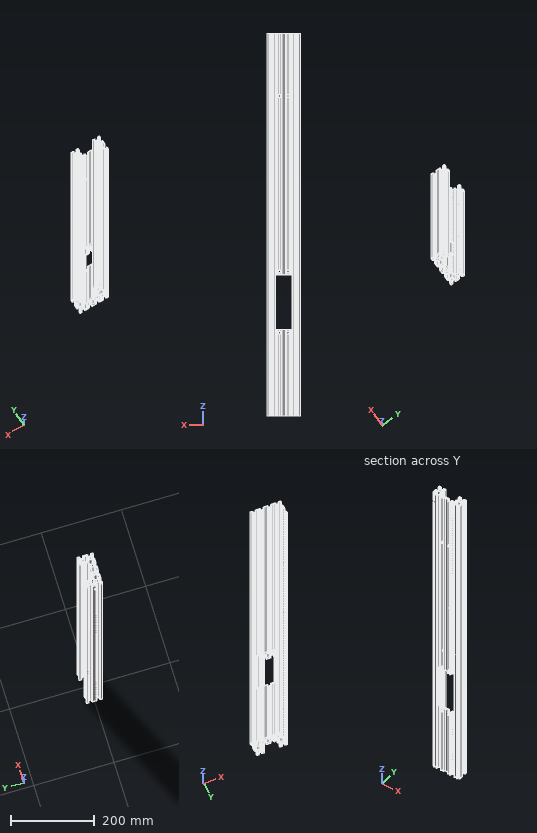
import cadquery as cq

LENGTH = 914.0
WIDTH = 80.0
DEPTH = 40.0

MODULE = WIDTH / 4
HALF_MODULE = MODULE / 2
ARM_X = 1.5 * MODULE
ARM_INNER_X = MODULE
FLOOR_X = HALF_MODULE
LOWER_Y = HALF_MODULE
UPPER_Y = 1.5 * MODULE
FLOOR_TOP_Y = MODULE

NOTCH_REACH = 4.1
NOTCH_DEPTH = 2.0

MOUTH_WIDTH = 9.0
NECK_WIDTH = 6.2
LIP_THICKNESS = 2.0
UNDERCUT_WIDTH = 11.0
SLOT_DEPTH = 5.5
GROOVE_WIDTH = 0.7
GROOVE_DEPTH = GROOVE_WIDTH / 2
WEB_OFFSET = 1.0
V_DEPTH = (MOUTH_WIDTH - NECK_WIDTH) / 2
WEB_REACH = HALF_MODULE - WEB_OFFSET

FLOOR_CAVITY_LENGTH = 13.0
FLOOR_CAVITY_WIDTH = 11.0
ARM_CAVITY_LENGTH = 9.0
ARM_CAVITY_WIDTH = 14.0
JUNCTION_CAVITY_LENGTH = 11.0
JUNCTION_CAVITY_WIDTH = 16.0
CORE_BORE = 5.5

WINDOW_WIDTH = 46.0
WINDOW_BOTTOM = 207.5
WINDOW_TOP = 337.0

FLOOR_HOLE = 5.9
HOLE_TO_WINDOW = 8.0
UPPER_HOLE_Z = 764.0
SIDE_HOLE = 10.0
SIDE_HOLE_DEPTH = SLOT_DEPTH
SIDE_HOLE_Y = LOWER_Y + SIDE_HOLE / 2
SIDE_HOLE_Z = 886.0


def extrude_outline(points):
    return cq.Workplane("XY").polyline(points).close().extrude(LENGTH)


def channel_body():
    """U-shaped bar with a notch along each of its two inner corners."""
    right_half = [
        (WIDTH / 2, 0),
        (WIDTH / 2, DEPTH),
        (ARM_INNER_X, DEPTH),
        (ARM_INNER_X, FLOOR_TOP_Y + NOTCH_REACH),
        (ARM_INNER_X + NOTCH_DEPTH, FLOOR_TOP_Y + NOTCH_DEPTH),
        (ARM_INNER_X - NOTCH_DEPTH, FLOOR_TOP_Y - NOTCH_DEPTH),
        (ARM_INNER_X - NOTCH_REACH, FLOOR_TOP_Y),
    ]
    left_half = [(-x, y) for x, y in reversed(right_half)]
    return extrude_outline(right_half + left_half)


def slot(x, y, turn):
    """V-slot whose mouth centre is at (x, y); at turn 0 it opens toward -Y."""
    right_half = [
        (MOUTH_WIDTH / 2, 0),
        (NECK_WIDTH / 2, V_DEPTH),
        (NECK_WIDTH / 2, LIP_THICKNESS),
        (UNDERCUT_WIDTH / 2, LIP_THICKNESS),
        (UNDERCUT_WIDTH / 2, WEB_REACH - UNDERCUT_WIDTH / 2),
        (WEB_REACH - SLOT_DEPTH, SLOT_DEPTH),
        (GROOVE_WIDTH / 2, SLOT_DEPTH),
    ]
    groove_bottom = [(0, SLOT_DEPTH + GROOVE_DEPTH)]
    left_half = [(-u, v) for u, v in reversed(right_half)]
    cutter = extrude_outline(right_half + groove_bottom + left_half)
    return cutter.rotate((0, 0, 0), (0, 0, 1), turn).translate((x, y, 0))


def cavity(x, y, length, width, turn=0):
    """Octagonal hollow between two cores; at turn 0 the cores lie along X."""
    end = length / 2
    side = width / 2
    quarter = [(end, WEB_REACH - end), (WEB_REACH - side, side)]
    upper = quarter + [(-u, v) for u, v in reversed(quarter)]
    lower = [(-u, -v) for u, v in upper]
    cutter = extrude_outline(upper + lower)
    return cutter.rotate((0, 0, 0), (0, 0, 1), turn).translate((x, y, 0))


result = channel_body()

for sign in (-1, 1):
    result = result.cut(slot(sign * ARM_X, 0, 0))
    result = result.cut(slot(sign * FLOOR_X, 0, 0))
    result = result.cut(slot(sign * ARM_X, DEPTH, 180))
    result = result.cut(slot(sign * FLOOR_X, FLOOR_TOP_Y, 180))
    result = result.cut(slot(sign * WIDTH / 2, LOWER_Y, sign * 90))
    result = result.cut(slot(sign * WIDTH / 2, UPPER_Y, sign * 90))
    result = result.cut(slot(sign * ARM_INNER_X, UPPER_Y, -sign * 90))
    result = result.cut(cavity(sign * ARM_INNER_X, LOWER_Y, JUNCTION_CAVITY_LENGTH, JUNCTION_CAVITY_WIDTH))
    result = result.cut(cavity(sign * ARM_X, FLOOR_TOP_Y, ARM_CAVITY_LENGTH, ARM_CAVITY_WIDTH, 90))
result = result.cut(cavity(0, LOWER_Y, FLOOR_CAVITY_LENGTH, FLOOR_CAVITY_WIDTH))

core_centres = [
    (sign * x, y)
    for sign in (-1, 1)
    for x, y in ((ARM_X, UPPER_Y), (ARM_X, LOWER_Y), (FLOOR_X, LOWER_Y))
]
core_bores = cq.Workplane("XY").pushPoints(core_centres).circle(CORE_BORE / 2).extrude(LENGTH)
result = result.cut(core_bores)

window_height = WINDOW_TOP - WINDOW_BOTTOM
window = (
    cq.Workplane("XY", origin=(0, 0, WINDOW_BOTTOM))
    .box(WINDOW_WIDTH, 2 * FLOOR_TOP_Y, window_height, centered=(True, True, False))
)
result = result.cut(window)

hole_levels = (WINDOW_BOTTOM - HOLE_TO_WINDOW, WINDOW_TOP + HOLE_TO_WINDOW, UPPER_HOLE_Z)
hole_centres = [(x, z) for x in (-FLOOR_X, FLOOR_X) for z in hole_levels]
floor_holes = (
    cq.Workplane("XZ").pushPoints(hole_centres).circle(FLOOR_HOLE / 2).extrude(-DEPTH)
)
result = result.cut(floor_holes)

side_hole = (
    cq.Workplane("YZ", origin=(-WIDTH / 2, 0, 0))
    .center(SIDE_HOLE_Y, SIDE_HOLE_Z)
    .circle(SIDE_HOLE / 2)
    .extrude(SIDE_HOLE_DEPTH)
)
result = result.cut(side_hole)